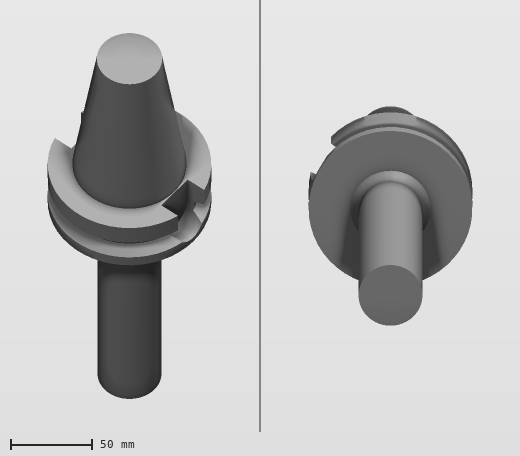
import cadquery as cq

total_height = 309.8
taper_length = 102.0
collar_height = 1.5
flange_height = 36.5
shoulder_height = 5.3

lower_rim_height = 7.7
lower_bevel_height = 3.7
groove_floor_height = 6.5
upper_bevel_height = 4.3

taper_small_diameter = 40.0
taper_large_diameter = 69.7
flange_diameter = 100.0
groove_diameter = 84.3
shoulder_diameter = 49.0
shank_diameter = 39.0

slot_width = 25.7
slot_floor_distance = 35.3
slot_bottom_height = 3.7

taper_base_z = total_height - taper_length
flange_top_z = taper_base_z - collar_height
flange_bottom_z = flange_top_z - flange_height
shank_top_z = flange_bottom_z - shoulder_height


def make_body():
    """Revolve the taper, grooved flange, conical shoulder and shank."""
    groove_bottom_z = flange_bottom_z + lower_rim_height
    groove_floor_z = groove_bottom_z + lower_bevel_height
    groove_ceiling_z = groove_floor_z + groove_floor_height
    groove_top_z = groove_ceiling_z + upper_bevel_height
    profile = [
        (0, 0),
        (shank_diameter / 2, 0),
        (shank_diameter / 2, shank_top_z),
        (shoulder_diameter / 2, flange_bottom_z),
        (flange_diameter / 2, flange_bottom_z),
        (flange_diameter / 2, groove_bottom_z),
        (groove_diameter / 2, groove_floor_z),
        (groove_diameter / 2, groove_ceiling_z),
        (flange_diameter / 2, groove_top_z),
        (flange_diameter / 2, flange_top_z),
        (taper_large_diameter / 2, flange_top_z),
        (taper_large_diameter / 2, taper_base_z),
        (taper_small_diameter / 2, total_height),
        (0, total_height),
    ]
    return cq.Workplane("XZ").polyline(profile).close().revolve(360, (0, 0), (0, 1))


def make_slot_cutter(side):
    """Round-bottomed drive slot, open upward and outward; side is -1 or +1 along X."""
    half_width = slot_width / 2
    slot_bottom_z = flange_bottom_z + slot_bottom_height
    return (
        cq.Workplane("YZ", origin=(side * slot_floor_distance, 0, 0))
        .moveTo(-half_width, flange_top_z)
        .lineTo(-half_width, slot_bottom_z + half_width)
        .threePointArc((0, slot_bottom_z), (half_width, slot_bottom_z + half_width))
        .lineTo(half_width, flange_top_z)
        .close()
        .extrude(side * flange_diameter / 2)
    )


result = make_body()
for slot_side in (-1, 1):
    result = result.cut(make_slot_cutter(slot_side))